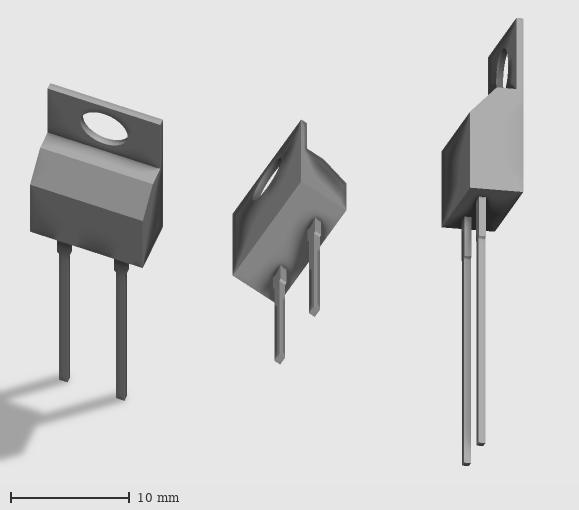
import cadquery as cq

width = 10.2
depth = 4.6
total_height = 37.41
back_y = depth / 2
front_y = -depth / 2

tab_height = 6.35
tab_thickness = 0.6
hole_diameter = 4.27
hole_below_top = 3.2

housing_height = 9.15
bevel_depth = depth / 2
bevel_height = 2.35

lead_pitch = 5.15
lead_count = 2
lead_thickness = 0.6
lead_back_offset = 2.77
lead_length = total_height - tab_height - housing_height
shoulder_width = 1.12
shoulder_length = 3.5
leg_width = 0.76
taper_length = (shoulder_width - leg_width) / 2


def make_housing():
    """Full-width block whose top front edge is bevelled."""
    profile = [
        (back_y, 0),
        (back_y, housing_height),
        (front_y + bevel_depth, housing_height),
        (front_y, housing_height - bevel_height),
        (front_y, 0),
    ]
    return cq.Workplane("YZ").polyline(profile).close().extrude(width / 2, both=True)


def make_tab():
    """Flat plate standing on the back of the housing top, with a mounting hole."""
    plate = cq.Workplane("XY").box(width, tab_thickness, tab_height, centered=(True, False, False))
    plate = plate.translate((0, back_y - tab_thickness, housing_height))
    hole_z = housing_height + tab_height - hole_below_top
    hole = (
        cq.Workplane("XZ", origin=(0, back_y, hole_z))
        .circle(hole_diameter / 2)
        .extrude(tab_thickness)
    )
    return plate.cut(hole)


def make_lead(center_x):
    """Flat lead under the housing: a wide shoulder tapering to a narrow leg."""
    half_shoulder = shoulder_width / 2
    half_leg = leg_width / 2
    leg_top = -(shoulder_length + taper_length)
    profile = [
        (-half_shoulder, 0),
        (half_shoulder, 0),
        (half_shoulder, -shoulder_length),
        (half_leg, leg_top),
        (half_leg, -lead_length),
        (-half_leg, -lead_length),
        (-half_leg, leg_top),
        (-half_shoulder, -shoulder_length),
    ]
    lead_back_y = back_y - lead_back_offset
    return (
        cq.Workplane("XZ", origin=(center_x, lead_back_y, 0))
        .polyline(profile)
        .close()
        .extrude(lead_thickness)
    )


housing = make_housing()
tab = make_tab()

first_lead_x = -lead_pitch * (lead_count - 1) / 2
leads = []
for index in range(lead_count):
    leads.append(make_lead(first_lead_x + index * lead_pitch))

result = cq.Compound.makeCompound([
    housing.val(),
    tab.val(),
    *[lead.val() for lead in leads],
])